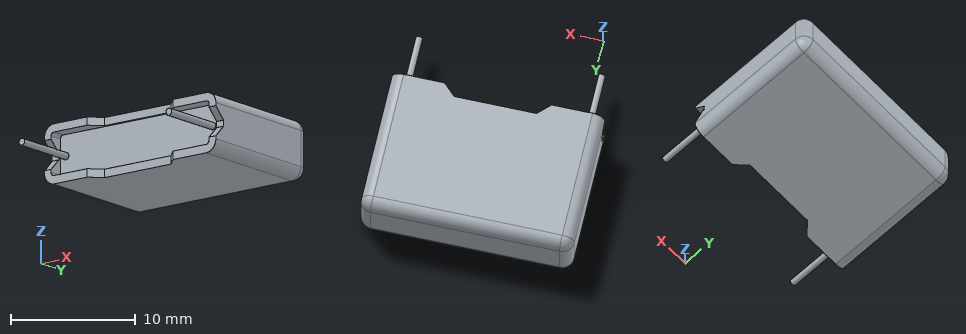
import cadquery as cq

case_width = 17.5
case_length = 12.0
case_height = 5.0
edge_radius = 1.0
wall = 0.7

recess_depth = 1.2
recess_corner_radius = 0.3

notch_depth = 1.0
wide_notch_width = case_width / 2
narrow_notch_width = case_height / 2

lead_diameter = 0.6
lead_pitch = 15.0
lead_projection = 4.5

mouth_y = 0.0
floor_y = mouth_y + recess_depth


def notch_outline(plane, width):
    """Trapezium narrowing from the mouth inwards, on a plane whose local y is +Y."""
    half_width = width / 2
    half_bottom = half_width - notch_depth
    return cq.Workplane(plane).polyline([
        (-half_width, mouth_y),
        (-half_bottom, mouth_y + notch_depth),
        (half_bottom, mouth_y + notch_depth),
        (half_width, mouth_y),
    ]).close()


def make_case():
    """Rounded case with a recessed, notched mouth."""
    block = (
        cq.Workplane("XY")
        .box(case_width, case_length, case_height)
        .translate((0, mouth_y + case_length / 2, 0))
        .edges("|Y or >Y")
        .fillet(edge_radius)
    )
    recess = (
        cq.Workplane("XY")
        .box(case_width - 2 * wall, recess_depth, case_height - 2 * wall)
        .translate((0, mouth_y + recess_depth / 2, 0))
        .edges("|Y")
        .fillet(recess_corner_radius)
    )
    wide_notches = notch_outline("XY", wide_notch_width).extrude(case_height / 2, both=True)
    side_plane = cq.Plane(origin=(0, 0, 0), xDir=(0, 0, 1), normal=(-1, 0, 0))
    narrow_notches = notch_outline(side_plane, narrow_notch_width).extrude(case_width / 2, both=True)
    return block.cut(recess).cut(wide_notches).cut(narrow_notches)


def make_lead(center_x):
    """Straight round lead standing on the recess floor and pointing along -Y."""
    return (
        cq.Workplane("XZ", origin=(center_x, floor_y, 0))
        .circle(lead_diameter / 2)
        .extrude(recess_depth + lead_projection)
    )


case = make_case()
leads = [make_lead(side * lead_pitch / 2) for side in (-1, 1)]

result = cq.Compound.makeCompound([case.val(), *[lead.val() for lead in leads]])